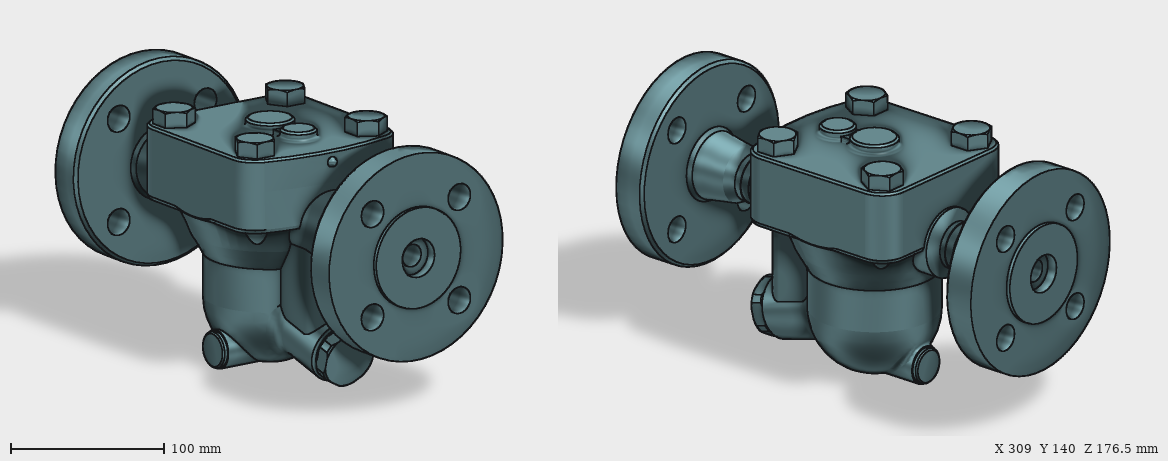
import cadquery as cq
import math


END_X = 154.5
FACE_STEP = 2.8
FACE_RADIUS = 34.0
FLANGE_RADIUS = 140.0 / 2
FLANGE_BACK_X = 129.5
FLANGE_CHAMFER = 2.2
FLANGE_HOLE_DIAMETER = 18.0
FLANGE_HOLE_CIRCLE_RADIUS = 49.5
HUB_ROOT_RADIUS = 25.3
HUB_LARGE_X = 126.5
HUB_LARGE_RADIUS = 23.2
HUB_SMALL_X = 103.2
HUB_SMALL_RADIUS = 19.5
NECK_END_X = 96.0
NECK_RADIUS = 16.0
WELD_OUTER_X = 91.0
WELD_INNER_X = 84.0
WELD_RADIUS = 33.0 / 2
NECK_START_X = 79.5
COLLAR_RADIUS = 48.0 / 2
COLLAR_END_X = 74.5
SOCKET_DIAMETER = 26.0
SOCKET_DEPTH = 7.5
BORE_DIAMETER = 15.0
BORE_DEPTH = 61.8

BODY_X = -10.0
BOLT_OFFSET = 44.8
CORNER_RADIUS = 17.5
HEAD_RIGHT_X = 58.7
HEAD_BOTTOM_RIGHT_X = 57.5
COVER_TOP = 51.0
JOINT_Z = 29.5
HEAD_BOTTOM = 1.2
COVER_CHAMFER = 1.5
HEAD_EDGE_HEIGHT = 2.5
HEAD_EDGE_INSET = 1.0
BOLT_FLATS = 24.0
BOLT_HEIGHT = 10.5
BOLT_CHAMFER = 1.0
NIPPLE_Z = 43.3
NIPPLE_RADIUS = 3.5

LARGE_CAP_RADIUS = 16.0
SMALL_CAP_X = 21.5
SMALL_CAP_RADIUS = 12.0
CAP_HEIGHT = 6.8
CAP_CHAMFER = 1.5
CAP_ROOT_FILLET = 3.0
BRIDGE_WIDTH = 15.5
BRIDGE_HEIGHT = 3.0
BRIDGE_FILLET = 2.2

BODY_RADIUS = 88.0 / 2
OVERALL_HEIGHT = 176.5
BOWL_BOTTOM = FLANGE_RADIUS - OVERALL_HEIGHT
DOME_Z = BOWL_BOTTOM + BODY_RADIUS
CONE_BOTTOM = -33.0
CONE_KNEE_Z = -19.0
CONE_KNEE_RADIUS = 52.2
CONE_TOP_RADIUS = 61.2
CONE_SAG = 0.5
FLARE_RADIUS = 65.5
FLARE_Z = HEAD_BOTTOM + HEAD_EDGE_HEIGHT
RELIEF_DIAMETER = 18.0

RIB_RIGHT_X = 66.7
RIB_HALF_WIDTH = 20.0
RIB_FILLET = 11.7
BRANCH_TILT = 15.0
BRANCH_RADIUS = 22.0
BRANCH_END = 79.5
BRANCH_FILLET = 14.0
NUT_NECK_RADIUS = 18.5
NUT_START = 81.0
NUT_END = 91.5
NUT_FLATS = 38.0
NUT_ROUND_RADIUS = 41.0 / 2
NUT_CHAMFER = 1.2
DRAIN_Z = -92.5
DRAIN_RADIUS = 13.0
DRAIN_LENGTH = 43.0
DRAIN_PLUG_RADIUS = 12.0
DRAIN_PLUG_END = 46.5
DRAIN_CHAMFER = 1.08
DRAIN_FILLET = 4.0

BOLT_POINTS = [
    (BODY_X + sx * BOLT_OFFSET, sy * BOLT_OFFSET) for sx in (-1, 1) for sy in (-1, 1)
]


def rod(radius, length, origin, direction):
    """Solid cylinder starting at origin and running along direction."""
    return cq.Workplane(
        cq.Solid.makeCylinder(radius, length, cq.Vector(*origin), cq.Vector(*direction))
    )


def hexagon_diameter(flats):
    """Corner-to-corner size of a hexagon given its size across flats."""
    return flats / math.cos(math.pi / 6)


def pipe_side():
    """Flange, welding neck and collar on the +X side, before boring."""
    face_x = END_X - FACE_STEP
    profile = (
        cq.Workplane("XZ")
        .moveTo(0, 0)
        .lineTo(0, COLLAR_RADIUS)
        .lineTo(COLLAR_END_X, COLLAR_RADIUS)
        .lineTo(NECK_START_X, NECK_RADIUS)
        .lineTo(WELD_INNER_X, NECK_RADIUS)
        .lineTo(WELD_INNER_X, WELD_RADIUS)
        .lineTo(WELD_OUTER_X, WELD_RADIUS)
        .lineTo(WELD_OUTER_X, NECK_RADIUS)
        .lineTo(NECK_END_X, NECK_RADIUS)
        .lineTo(HUB_SMALL_X, HUB_SMALL_RADIUS)
        .lineTo(HUB_LARGE_X, HUB_LARGE_RADIUS)
        .lineTo(FLANGE_BACK_X, HUB_ROOT_RADIUS)
        .lineTo(FLANGE_BACK_X, FLANGE_RADIUS - FLANGE_CHAMFER)
        .lineTo(FLANGE_BACK_X + FLANGE_CHAMFER, FLANGE_RADIUS)
        .lineTo(face_x, FLANGE_RADIUS)
        .lineTo(face_x, FACE_RADIUS)
        .lineTo(END_X, FACE_RADIUS)
        .lineTo(END_X, 0)
        .close()
    )
    side = profile.revolve(360, (0, 0, 0), (1, 0, 0))
    for index in range(4):
        angle = math.radians(45 + 90 * index)
        y = FLANGE_HOLE_CIRCLE_RADIUS * math.cos(angle)
        z = FLANGE_HOLE_CIRCLE_RADIUS * math.sin(angle)
        hole = rod(FLANGE_HOLE_DIAMETER / 2, END_X - HUB_LARGE_X, (HUB_LARGE_X, y, z), (1, 0, 0))
        side = side.cut(hole)
    return side


def pipe_bore():
    """Stepped bore entering the +X flange face."""
    socket = rod(SOCKET_DIAMETER / 2, SOCKET_DEPTH, (END_X, 0, 0), (-1, 0, 0))
    return socket.union(rod(BORE_DIAMETER / 2, BORE_DEPTH, (END_X, 0, 0), (-1, 0, 0)))


def head_outline(crest_x):
    """Rounded square whose +X side bows out to crest_x, tangent to both corner arcs."""
    left_x = BODY_X - BOLT_OFFSET
    right_x = BODY_X + BOLT_OFFSET
    half_width = BOLT_OFFSET + CORNER_RADIUS
    crest = crest_x - right_x
    bulge = crest - CORNER_RADIUS
    setback = (BOLT_OFFSET**2 - bulge**2) / (2 * bulge)
    bow_angle = math.atan2(BOLT_OFFSET, setback)
    middle_angle = (bow_angle + math.pi / 2) / 2

    def right_corner(angle, side):
        return (
            right_x + CORNER_RADIUS * math.cos(angle),
            side * (BOLT_OFFSET + CORNER_RADIUS * math.sin(angle)),
        )

    diagonal = CORNER_RADIUS * math.sqrt(0.5)
    return (
        cq.Workplane("XY")
        .moveTo(left_x, -half_width)
        .lineTo(right_x, -half_width)
        .threePointArc(right_corner(middle_angle, -1), right_corner(bow_angle, -1))
        .threePointArc((crest_x, 0), right_corner(bow_angle, 1))
        .threePointArc(right_corner(middle_angle, 1), (right_x, half_width))
        .lineTo(left_x, half_width)
        .threePointArc(
            (left_x - diagonal, BOLT_OFFSET + diagonal), (left_x - CORNER_RADIUS, BOLT_OFFSET)
        )
        .lineTo(left_x - CORNER_RADIUS, -BOLT_OFFSET)
        .threePointArc((left_x - diagonal, -BOLT_OFFSET - diagonal), (left_x, -half_width))
        .close()
    )


def head_prism(bottom, top):
    """Straight block with the head outline between two heights."""
    return head_outline(HEAD_RIGHT_X).extrude(top - bottom).translate((0, 0, bottom))


def head():
    """Body flange with the cover bolted on it."""
    joint_wire = head_outline(HEAD_RIGHT_X).val().translate(cq.Vector(0, 0, JOINT_Z))
    bottom_wire = head_outline(HEAD_BOTTOM_RIGHT_X).val().translate(cq.Vector(0, 0, HEAD_BOTTOM))
    lower = cq.Workplane(cq.Solid.makeLoft([bottom_wire, joint_wire], True))
    lower = lower.faces("<Z").chamfer(HEAD_EDGE_HEIGHT, HEAD_EDGE_INSET)
    upper = head_prism(JOINT_Z, COVER_TOP).faces(">Z").chamfer(COVER_CHAMFER)
    nipple = cq.Workplane("XY").sphere(NIPPLE_RADIUS).translate((HEAD_RIGHT_X, 0, NIPPLE_Z))
    return lower.union(upper).union(nipple)


def bolt_head(x, y):
    """Hexagonal bolt head; neighbouring heads are turned by 90 degrees."""
    corner_radius = hexagon_diameter(BOLT_FLATS) / 2
    turn = 90 if (x - BODY_X) * y < 0 else 0
    hexagon = cq.Workplane("XY").polygon(6, 2 * corner_radius).extrude(BOLT_HEIGHT)
    envelope = cq.Workplane("XY").circle(corner_radius).extrude(BOLT_HEIGHT)
    envelope = envelope.faces(">Z").chamfer(BOLT_CHAMFER, corner_radius - BOLT_FLATS / 2)
    bolt = hexagon.intersect(envelope)
    return bolt.rotate((0, 0, 0), (0, 0, 1), turn).translate((x, y, COVER_TOP))


def cap(x, radius):
    """Round raised cap with a chamfered rim and a filleted root."""
    root = radius + CAP_ROOT_FILLET
    root_mid = root - CAP_ROOT_FILLET * math.sqrt(0.5)
    root_mid_z = CAP_ROOT_FILLET * (1 - math.sqrt(0.5))
    profile = (
        cq.Workplane("XZ")
        .moveTo(0, 0)
        .lineTo(root, 0)
        .threePointArc((root_mid, root_mid_z), (radius, CAP_ROOT_FILLET))
        .lineTo(radius, CAP_HEIGHT - CAP_CHAMFER)
        .lineTo(radius - CAP_CHAMFER, CAP_HEIGHT)
        .lineTo(0, CAP_HEIGHT)
        .close()
    )
    return profile.revolve(360, (0, 0, 0), (0, 1, 0)).translate((x, 0, COVER_TOP))


def cap_bridge():
    """Low bar joining the two caps, with concave roots along both sides."""
    half = BRIDGE_WIDTH / 2
    top = BRIDGE_HEIGHT
    fillet = BRIDGE_FILLET
    mid = fillet * (1 - math.sqrt(0.5))
    profile = (
        cq.Workplane("YZ")
        .moveTo(-half - fillet, 0)
        .lineTo(half + fillet, 0)
        .threePointArc((half + mid, mid), (half, fillet))
        .lineTo(half, top)
        .lineTo(-half, top)
        .lineTo(-half, fillet)
        .threePointArc((-half - mid, mid), (-half - fillet, 0))
        .close()
    )
    return profile.extrude(SMALL_CAP_X - BODY_X).translate((BODY_X, 0, COVER_TOP))


def bowl():
    """Flared cone, cylinder and dome, trimmed to the head outline at the flare."""
    knee_mid_radius = (CONE_TOP_RADIUS + CONE_KNEE_RADIUS) / 2 - CONE_SAG
    profile = (
        cq.Workplane("XZ")
        .moveTo(0, BOWL_BOTTOM)
        .threePointArc(
            (BODY_RADIUS * math.sqrt(0.5), DOME_Z - BODY_RADIUS * math.sqrt(0.5)),
            (BODY_RADIUS, DOME_Z),
        )
        .lineTo(BODY_RADIUS, CONE_BOTTOM)
        .lineTo(CONE_KNEE_RADIUS, CONE_KNEE_Z)
        .threePointArc((knee_mid_radius, CONE_KNEE_Z / 2), (CONE_TOP_RADIUS, 0))
        .lineTo(FLARE_RADIUS, FLARE_Z)
        .lineTo(0, FLARE_Z)
        .close()
    )
    solid = profile.revolve(360, (0, 0, 0), (0, 1, 0)).translate((BODY_X, 0, 0))
    solid = solid.intersect(head_prism(BOWL_BOTTOM, JOINT_Z))
    for x, y in BOLT_POINTS:
        solid = solid.cut(rod(RELIEF_DIAMETER / 2, -CONE_BOTTOM, (x, y, 0), (0, 0, -1)))
    return solid


def passage_rib():
    """Block joining the outlet collar to the strainer branch."""
    bottom = DOME_Z - (RIB_RIGHT_X - BODY_X) * math.tan(math.radians(BRANCH_TILT))
    rib = cq.Workplane("XY").box(
        RIB_RIGHT_X - BODY_X, 2 * RIB_HALF_WIDTH, -bottom, centered=(False, True, False)
    )
    rib = rib.edges("|Z and >X").fillet(RIB_FILLET).translate((BODY_X, 0, bottom))
    below = (
        cq.Workplane("XZ")
        .moveTo(BODY_X, DOME_Z)
        .lineTo(RIB_RIGHT_X, bottom)
        .lineTo(RIB_RIGHT_X, BOWL_BOTTOM)
        .lineTo(BODY_X, BOWL_BOTTOM)
        .close()
        .extrude(RIB_HALF_WIDTH, both=True)
    )
    return rib.cut(below)


def strainer_branch():
    """Inclined branch blended into the dome and closed with a hexagon plug."""
    fillet_centre_r = BRANCH_RADIUS + BRANCH_FILLET
    fillet_centre_s = math.sqrt((BODY_RADIUS + BRANCH_FILLET) ** 2 - fillet_centre_r**2)
    scale = BODY_RADIUS / (BODY_RADIUS + BRANCH_FILLET)
    dome_touch = (fillet_centre_s * scale, fillet_centre_r * scale)
    start_angle = math.atan2(dome_touch[1] - fillet_centre_r, dome_touch[0] - fillet_centre_s)
    middle_angle = (start_angle - math.pi / 2) / 2
    fillet_middle = (
        fillet_centre_s + BRANCH_FILLET * math.cos(middle_angle),
        fillet_centre_r + BRANCH_FILLET * math.sin(middle_angle),
    )
    branch = (
        cq.Workplane("XY")
        .lineTo(*dome_touch)
        .threePointArc(fillet_middle, (fillet_centre_s, BRANCH_RADIUS))
        .lineTo(BRANCH_END, BRANCH_RADIUS)
        .lineTo(BRANCH_END, NUT_NECK_RADIUS)
        .lineTo(NUT_START, NUT_NECK_RADIUS)
        .lineTo(NUT_START, 0)
        .close()
        .revolve(360, (0, 0, 0), (1, 0, 0))
    )
    thickness = NUT_END - NUT_START
    hexagon = cq.Workplane("YZ").polygon(6, hexagon_diameter(NUT_FLATS)).extrude(thickness)
    hexagon = hexagon.rotate((0, 0, 0), (1, 0, 0), 90)
    envelope = cq.Workplane("YZ").circle(NUT_ROUND_RADIUS).extrude(thickness)
    nut = hexagon.intersect(envelope.edges().chamfer(NUT_CHAMFER))
    branch = branch.union(nut.translate((NUT_START, 0, 0)))
    return branch.rotate((0, 0, 0), (0, 1, 0), BRANCH_TILT).translate((BODY_X, 0, DOME_Z))


def drain_boss(direction):
    """Plain round boss near the bowl bottom."""
    return rod(DRAIN_RADIUS, DRAIN_LENGTH, (BODY_X, 0, DRAIN_Z), direction)


def drain_plug(direction):
    """Chamfered plug standing out of the end of a drain boss."""
    plug = rod(DRAIN_PLUG_RADIUS, DRAIN_PLUG_END, (BODY_X, 0, DRAIN_Z), direction)
    return plug.edges().chamfer(DRAIN_CHAMFER)


def bowl_with_drains():
    """Bowl with a filleted drain boss towards -X and a plain one towards -Y."""
    solid = bowl().union(drain_boss((-1, 0, 0)))
    seam_box = cq.selectors.BoxSelector(
        (BODY_X - BODY_RADIUS, -BODY_RADIUS, BOWL_BOTTOM),
        (BODY_X, BODY_RADIUS, DOME_Z - DRAIN_RADIUS),
        boundingbox=True,
    )
    solid = solid.edges(seam_box).edges("%BSPLINE").fillet(DRAIN_FILLET)
    solid = solid.union(drain_boss((0, -1, 0)))
    return solid.union(drain_plug((-1, 0, 0))).union(drain_plug((0, -1, 0)))


right_pipe = pipe_side()
right_bore = pipe_bore()

result = head().union(bowl_with_drains()).union(right_pipe).union(right_pipe.mirror("YZ"))
result = result.union(passage_rib()).union(strainer_branch())
for bolt_x, bolt_y in BOLT_POINTS:
    result = result.union(bolt_head(bolt_x, bolt_y))
result = result.union(cap(BODY_X, LARGE_CAP_RADIUS)).union(cap(SMALL_CAP_X, SMALL_CAP_RADIUS))
result = result.union(cap_bridge())
result = result.cut(right_bore).cut(right_bore.mirror("YZ"))